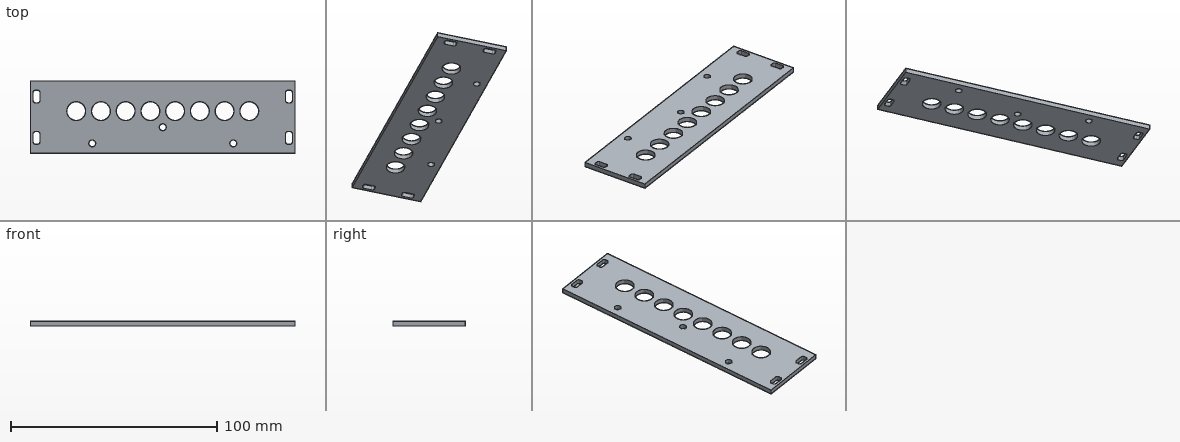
import cadquery as cq

length = 128.4
width = 35.2
thickness = 2.5

large_hole_count = 8
large_hole_diameter = 9.0
large_hole_row_span = 84.0
large_hole_pitch = large_hole_row_span / (large_hole_count - 1)
large_hole_y = 3.0

small_hole_diameter = 3.2
middle_hole_y = -4.9
lower_hole_spacing = 68.5
lower_hole_y = -12.7

slot_length = 6.0
slot_width = 3.2
slot_corner_radius = 1.0
slot_spacing_x = 122.5
slot_spacing_y = 20.0


def drill(panel, centers, diameter):
    """Cut round through holes at the given centers."""
    return panel.faces(">Z").workplane(origin=(0, 0, 0)).pushPoints(centers).hole(diameter)


def cut_slots(panel, centers):
    """Cut through slots with rounded corners, long side along Y."""
    cutter = (
        cq.Workplane("XY")
        .pushPoints(centers)
        .rect(slot_width, slot_length)
        .extrude(thickness, both=True)
        .edges("|Z")
        .fillet(slot_corner_radius)
    )
    return panel.cut(cutter)


first_hole_x = -large_hole_row_span / 2
large_hole_centers = [
    (first_hole_x + index * large_hole_pitch, large_hole_y)
    for index in range(large_hole_count)
]
small_hole_centers = [
    (0, middle_hole_y),
    (-lower_hole_spacing / 2, lower_hole_y),
    (lower_hole_spacing / 2, lower_hole_y),
]
slot_centers = [
    (side_x * slot_spacing_x / 2, side_y * slot_spacing_y / 2)
    for side_x in (-1, 1)
    for side_y in (-1, 1)
]

result = cq.Workplane("XY").box(length, width, thickness)
result = drill(result, large_hole_centers, large_hole_diameter)
result = drill(result, small_hole_centers, small_hole_diameter)
result = cut_slots(result, slot_centers)